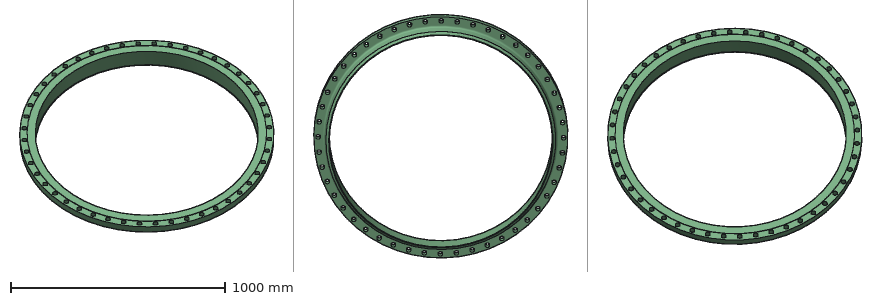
import cadquery as cq

OUTER_DIAMETER = 1186.0
HEIGHT = 95.0
BORE_DIAMETER = 1040.0

FACE_DIAMETER = 1117.0
FACE_HEIGHT = 2.0
PLATE_THICKNESS = 37.0

HUB_FILLET_RADIUS = 10.0
HUB_ROOT_DIAMETER = 1084.0
HUB_BOTTOM_DIAMETER = 1072.0
BEVEL_HEIGHT = 11.0
WELD_LAND = 4.0

BOLT_COUNT = 48
BOLT_CIRCLE_DIAMETER = 1145.0
BOLT_HOLE_DIAMETER = 21.0

plate_top = HEIGHT - FACE_HEIGHT
plate_bottom = plate_top - PLATE_THICKNESS

bore_radius = BORE_DIAMETER / 2
hub_root_radius = HUB_ROOT_DIAMETER / 2


def make_ring():
    """Revolve the half section of the flange about the Z axis."""
    section = [
        (bore_radius, 0),
        (bore_radius + WELD_LAND, 0),
        (HUB_BOTTOM_DIAMETER / 2, BEVEL_HEIGHT),
        (hub_root_radius, plate_bottom),
        (OUTER_DIAMETER / 2, plate_bottom),
        (OUTER_DIAMETER / 2, plate_top),
        (FACE_DIAMETER / 2, plate_top),
        (FACE_DIAMETER / 2, HEIGHT),
        (bore_radius, HEIGHT),
    ]
    ring = cq.Workplane("XZ").polyline(section).close().revolve(360, (0, 0), (0, 1))
    hub_root = ring.edges("%CIRCLE").edges(cq.selectors.RadiusNthSelector(3))
    return hub_root.fillet(HUB_FILLET_RADIUS)


def make_bolt_holes():
    """Cylinders through the plate, evenly spaced from the +X axis."""
    return (
        cq.Workplane("XY", origin=(0, 0, plate_bottom))
        .polarArray(BOLT_CIRCLE_DIAMETER / 2, 0, 360, BOLT_COUNT)
        .circle(BOLT_HOLE_DIAMETER / 2)
        .extrude(PLATE_THICKNESS)
    )


result = make_ring().cut(make_bolt_holes())